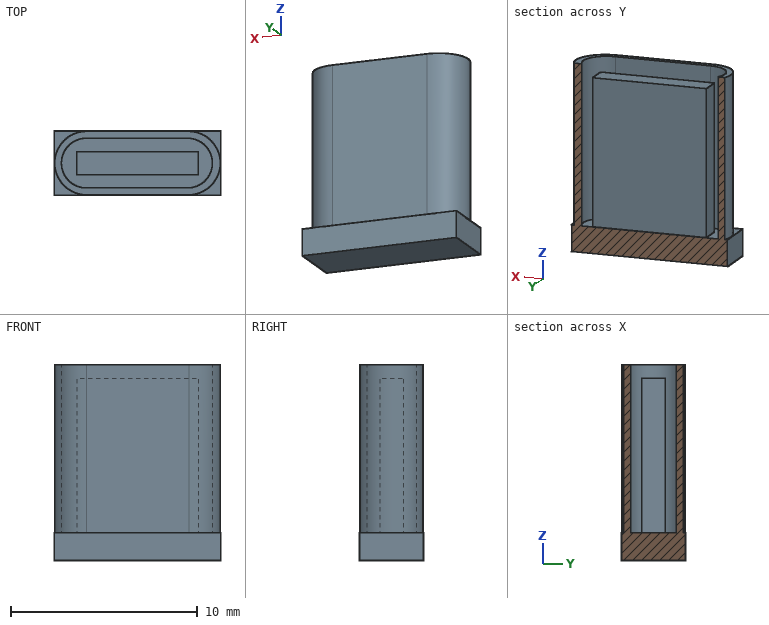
import cadquery as cq

base_length = 8.94
base_width = 3.45
base_height = 1.5

total_height = 10.5
shell_length = 8.88
shell_width = 3.4
wall = 0.37
cavity_length = 8.1
cavity_shift = -0.03

tongue_length = 6.51
tongue_width = 1.24
tongue_recess = 0.72

shell_height = total_height - base_height
tongue_height = shell_height - tongue_recess


def round_ended_prism(length, width, height):
    """Upright prism on top of the base, with semicircular ends along X."""
    return (
        cq.Workplane("XY")
        .workplane(offset=base_height)
        .slot2D(length, width)
        .extrude(height)
    )


base = cq.Workplane("XY").box(base_length, base_width, base_height, centered=(True, True, False))

shell = round_ended_prism(shell_length, shell_width, shell_height)
cavity = round_ended_prism(cavity_length, shell_width - 2 * wall, shell_height)
cavity = cavity.translate((cavity_shift, 0, 0))

tongue = (
    cq.Workplane("XY")
    .workplane(offset=base_height)
    .rect(tongue_length, tongue_width)
    .extrude(tongue_height)
)

result = base.union(shell.cut(cavity)).union(tongue)